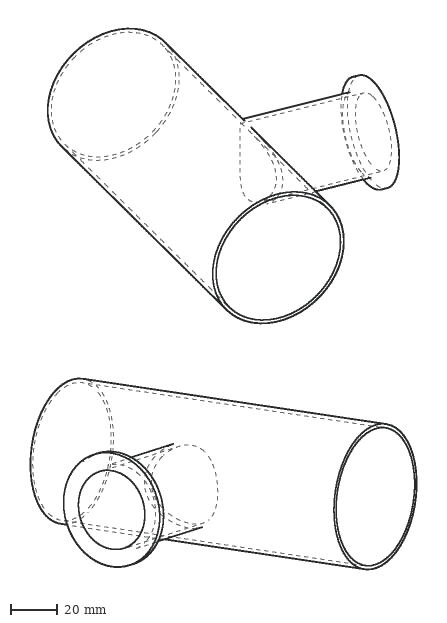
import cadquery as cq
import math

run_length = 158.8
run_diameter = 63.5
run_bore = 60.2

branch_end = 85.7
branch_diameter = 38.1
branch_bore = 34.8
weld_fillet = 1.6

ferrule_length = 12.5
flange_diameter = 50.3
rim_thickness = 3.0
rim_fillet = 0.3
flange_back_angle = 20.0
neck_fillet = 1.1

run_radius = run_diameter / 2
branch_radius = branch_diameter / 2
flange_radius = flange_diameter / 2
weld_y = branch_end - ferrule_length
selection_margin = 0.2


def cylinder_along_y(diameter, start_y, end_y):
    plane = cq.Workplane("XZ", origin=(0, start_y, 0))
    return plane.circle(diameter / 2).extrude(start_y - end_y)


def edges_inside(radius, start_y, end_y):
    """Selector for edges wholly within a square box around the branch axis."""
    reach = radius + selection_margin
    low_corner = (-reach, start_y - selection_margin, -reach)
    high_corner = (reach, end_y + selection_margin, reach)
    return cq.selectors.BoxSelector(low_corner, high_corner, boundingbox=True)


def tee_body():
    """Solid run and branch, blended by a fillet along their joint."""
    run = cq.Workplane("YZ").circle(run_radius).extrude(run_length / 2, both=True)
    branch = cylinder_along_y(branch_diameter, 0, weld_y)
    joint = edges_inside(branch_radius, 0, run_radius)
    return run.union(branch).edges(joint).fillet(weld_fillet)


def ferrule():
    """Solid clamp ferrule: neck, sloping flange back and flat rim."""
    rim_back_y = branch_end - rim_thickness
    slope_drop = (flange_radius - branch_radius) * math.tan(math.radians(flange_back_angle))
    slope_end_y = rim_back_y - slope_drop
    profile = (
        cq.Workplane("XY")
        .moveTo(0, weld_y)
        .lineTo(branch_radius, weld_y)
        .lineTo(branch_radius, slope_end_y)
        .lineTo(flange_radius, rim_back_y)
        .lineTo(flange_radius, branch_end)
        .lineTo(0, branch_end)
        .close()
    )
    body = profile.revolve(360, (0, 0, 0), (0, 1, 0))

    neck_corner = edges_inside(branch_radius, slope_end_y, slope_end_y)
    rim_corner = edges_inside(flange_radius, rim_back_y, rim_back_y)
    return body.edges(neck_corner).fillet(neck_fillet).edges(rim_corner).fillet(rim_fillet)


run_hole = cq.Workplane("YZ").circle(run_bore / 2).extrude(run_length / 2, both=True)
branch_hole = cylinder_along_y(branch_bore, 0, branch_end)

result = (
    tee_body()
    .union(ferrule(), clean=False)
    .cut(run_hole, clean=False)
    .cut(branch_hole, clean=False)
)